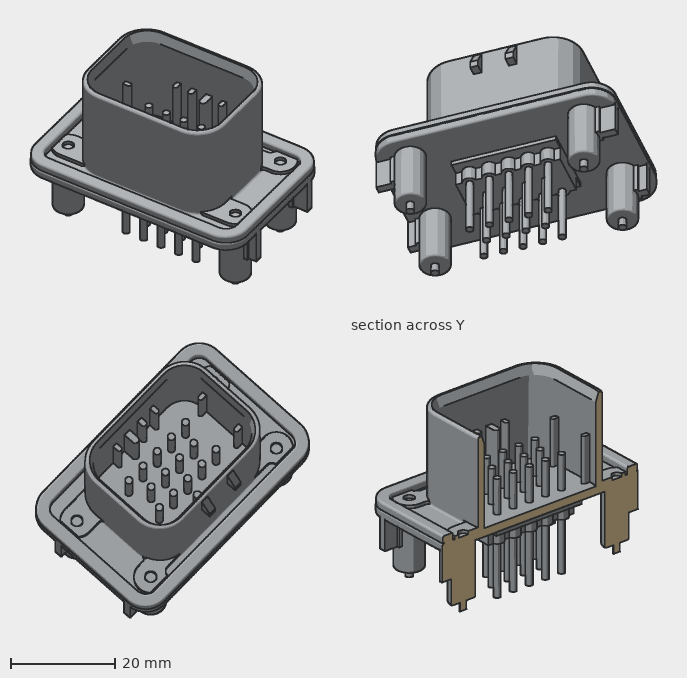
import cadquery as cq
import math

FLANGE_X = 48.8
FLANGE_Y = 32.1
FLANGE_Z = 1.95
FLANGE_CORNER = 5.0
EDGE_ROUND = 0.5

GASKET_INSET = 0.1
GASKET_WIDTH = 2.65
GASKET_TOP = 3.55

SHROUD_X = 31.5
SHROUD_Y = 23.6
SHROUD_CORNER = 6.2
SHROUD_TOP = 22.05
RIM_ROUND = 0.6
FOOT_ROUND = 0.45
WALL_X = 1.65
WALL_Y = 1.5
CAVITY_CORNER = SHROUD_CORNER - WALL_Y
CAVITY_FLOOR = 1.95
LEAD_IN_WIDTH = 0.7
LEAD_IN_DEPTH = 2.15
CAVITY_X = SHROUD_X - 2 * WALL_X
CAVITY_Y = SHROUD_Y - 2 * WALL_Y

LATCH_OFFSET_X = 3.6
LATCH_WIDTH = 1.6
LATCH_REACH_Y = 13.85
LATCH_BOTTOM = 16.65
LATCH_NOSE_TOP = 18.1
LATCH_TOP = 21.45

RIB_TOP = 12.2
RIB_WIDTH = 1.0
RIB_LENGTH_X = 1.6
RIB_LENGTH_Y = 1.7
KEY_RIB_LENGTH = 2.9
SIDE_RIB_Y = 4.7
LONG_WALL_RIBS = [
    (-5.2, RIB_WIDTH, RIB_LENGTH_Y),
    (-1.75, 1.15, RIB_LENGTH_Y),
    (1.75, 1.45, KEY_RIB_LENGTH),
    (5.2, RIB_WIDTH, RIB_LENGTH_Y),
]

PIN_DIAMETER = 1.45
PIN_PITCH = 4.0
PIN_TOP = 9.65
PIN_BOTTOM = -16.0
PIN_ROWS = [(PIN_PITCH, 5), (0.0, 4), (-PIN_PITCH, 5)]

HOUSING_X = 21.3
HOUSING_BASE_Y = 14.0
HOUSING_BASE_BOTTOM = -0.95
HOUSING_BLOCK_Y = 9.1
HOUSING_BOTTOM = -3.95
PIN_SLEEVE_RADIUS = 1.5

REAR_POST = (17.7, 10.78)
FRONT_POST = (19.12, -7.28)
POST_RADIUS = 3.08
POST_BOTTOM = -12.25
TIP_DIAMETER = 1.6
TIP_BOTTOM = -14.15

WEB_WIDTH = 1.6
WEB_BOTTOM = -6.45
WEB_ROOT_WIDTH = 2.6
WEB_ROOT_REACH = 3.6

PAD_TOP = 2.65
PAD_RADIUS = 3.25
PAD_GAP = 0.35
PAD_HOLE_DIAMETER = 2.25
PAD_CORNER = 0.65
PAD_EDGE_Y = 11.72
PAD_STEP_X = 14.05


def rounded_block(size_x, size_y, corner, bottom, top):
    """Block centred on Z with rounded vertical edges."""
    block = cq.Workplane("XY").workplane(offset=bottom).rect(size_x, size_y).extrude(top - bottom)
    return block.edges("|Z").fillet(corner)


def box(x_min, x_max, y_min, y_max, z_min, z_max):
    """Axis-aligned box given by its limits."""
    block = cq.Workplane("XY").box(x_max - x_min, y_max - y_min, z_max - z_min, centered=False)
    return block.translate((x_min, y_min, z_min))


def cylinder(x, y, radius, bottom, top):
    """Upright cylinder."""
    return cq.Workplane("XY").workplane(offset=bottom).center(x, y).circle(radius).extrude(top - bottom)


def both_ends(shape):
    """The shape together with its mirror image across the YZ plane."""
    return shape.union(shape.mirror("YZ"))


def make_flange():
    plate = rounded_block(FLANGE_X, FLANGE_Y, FLANGE_CORNER, 0, FLANGE_Z)
    return plate.faces("<Z or >Z").edges().fillet(EDGE_ROUND)


def make_gasket():
    size_x = FLANGE_X - 2 * GASKET_INSET
    size_y = FLANGE_Y - 2 * GASKET_INSET
    corner = FLANGE_CORNER - GASKET_INSET
    outer = rounded_block(size_x, size_y, corner, FLANGE_Z, GASKET_TOP)
    opening = rounded_block(
        size_x - 2 * GASKET_WIDTH, size_y - 2 * GASKET_WIDTH, corner - GASKET_WIDTH, FLANGE_Z, GASKET_TOP
    )
    return outer.cut(opening).faces(">Z").edges().fillet(EDGE_ROUND)


def make_shroud_core():
    """Solid shroud body with its rounded rim."""
    core = rounded_block(SHROUD_X, SHROUD_Y, SHROUD_CORNER, 0, SHROUD_TOP)
    return core.faces(">Z").edges().fillet(RIM_ROUND)


def make_cavity():
    """Space inside the shroud, widening towards the rim."""
    cavity = rounded_block(CAVITY_X, CAVITY_Y, CAVITY_CORNER, CAVITY_FLOOR, SHROUD_TOP)
    taper = math.degrees(math.atan2(LEAD_IN_WIDTH, LEAD_IN_DEPTH))
    mouth_bottom = SHROUD_TOP - LEAD_IN_DEPTH
    mouth_outline = cq.Sketch().rect(CAVITY_X, CAVITY_Y).vertices().fillet(CAVITY_CORNER)
    mouth = cq.Workplane("XY").workplane(offset=mouth_bottom).placeSketch(mouth_outline)
    mouth = mouth.extrude(LEAD_IN_DEPTH, taper=-taper)
    return cavity.union(mouth)


def make_latches():
    wall_y = SHROUD_Y / 2
    root_y = wall_y - WALL_Y / 2
    profile = [
        (root_y, LATCH_BOTTOM),
        (LATCH_REACH_Y, LATCH_BOTTOM),
        (LATCH_REACH_Y, LATCH_NOSE_TOP),
        (wall_y, LATCH_TOP),
        (root_y, LATCH_TOP),
    ]
    wedge = cq.Workplane("YZ").polyline(profile).close().extrude(LATCH_WIDTH / 2, both=True)
    return both_ends(wedge.translate((LATCH_OFFSET_X, 0, 0)))


def make_rib(wall_distance, width, length):
    """Round-nosed rib standing on the wall at +X = wall_distance, pointing inwards."""
    nose_x = wall_distance - length
    radius = width / 2
    body = box(nose_x + radius, wall_distance + WALL_Y / 2, -radius, radius, CAVITY_FLOOR, RIB_TOP)
    return body.union(cylinder(nose_x + radius, 0, radius, CAVITY_FLOOR, RIB_TOP))


def make_ribs():
    side_rib = make_rib(CAVITY_X / 2, RIB_WIDTH, RIB_LENGTH_X)
    pair = side_rib.translate((0, SIDE_RIB_Y, 0)).union(side_rib.translate((0, -SIDE_RIB_Y, 0)))
    ribs = both_ends(pair)
    for x, width, length in LONG_WALL_RIBS:
        rib = make_rib(CAVITY_Y / 2, width, length)
        for angle in (90, -90):
            ribs = ribs.union(rib.rotate((0, 0, 0), (0, 0, 1), angle).translate((x, 0, 0)))
    return ribs


def pin_positions():
    return [
        ((i - (count - 1) / 2) * PIN_PITCH, y)
        for y, count in PIN_ROWS
        for i in range(count)
    ]


def make_pins():
    pins = cq.Workplane("XY").workplane(offset=PIN_BOTTOM).pushPoints(pin_positions())
    return pins.circle(PIN_DIAMETER / 2).extrude(PIN_TOP - PIN_BOTTOM)


def make_housing():
    """Base slab and block around the pins, with a round sleeve at each outer-row pin."""
    half_x = HOUSING_X / 2
    half_base = HOUSING_BASE_Y / 2
    half_block = HOUSING_BLOCK_Y / 2
    housing = box(-half_x, half_x, -half_base, half_base, HOUSING_BASE_BOTTOM, FLANGE_Z)
    housing = housing.union(box(-half_x, half_x, -half_block, half_block, HOUSING_BOTTOM, FLANGE_Z))
    for x, y in pin_positions():
        if y != 0:
            housing = housing.union(cylinder(x, y, PIN_SLEEVE_RADIUS, HOUSING_BOTTOM, 0))
    return housing


def make_post(x, y):
    """Mounting post at +X with its locating tip and the stepped web to the flange end."""
    post = cylinder(x, y, POST_RADIUS, POST_BOTTOM, FLANGE_Z / 2).faces("<Z").edges().fillet(EDGE_ROUND)
    tip = cylinder(x, y, TIP_DIAMETER / 2, TIP_BOTTOM, 0)
    half_web = WEB_WIDTH / 2
    half_root = WEB_ROOT_WIDTH / 2
    web_top = FLANGE_Z - EDGE_ROUND
    web = box(x, FLANGE_X / 2, y - half_web, y + half_web, WEB_BOTTOM, web_top)
    web_root = box(x, x + WEB_ROOT_REACH, y - half_root, y + half_root, WEB_BOTTOM, web_top)
    flange_outline = rounded_block(FLANGE_X, FLANGE_Y, FLANGE_CORNER, WEB_BOTTOM, web_top)
    webs = web.union(web_root).intersect(flange_outline)
    return post.union(tip).union(webs)


def corner_filler(x, y, radius, sign_y):
    """Fillet-like wedge with its sharp corner at (x, y), spreading to +X and sign_y * Y."""
    centre_y = y + sign_y * radius
    square = box(x, x + radius, min(y, centre_y), max(y, centre_y), FLANGE_Z, PAD_TOP)
    return square.cut(cylinder(x + radius, centre_y, radius, FLANGE_Z, PAD_TOP))


def make_pads():
    """Raised pads over the posts: a disc at each post joined to the shroud."""
    limit_x = FLANGE_X / 2 - GASKET_INSET - GASKET_WIDTH - PAD_GAP
    limit_y = FLANGE_Y / 2 - GASKET_INSET - GASKET_WIDTH - PAD_GAP
    side_x = SHROUD_X / 2
    inner_x = SHROUD_X / 2 - SHROUD_CORNER

    rear_x, rear_y = REAR_POST
    rear_low = rear_y - PAD_RADIUS
    step = limit_y - PAD_EDGE_Y
    rear = cylinder(rear_x, rear_y, PAD_RADIUS, FLANGE_Z, PAD_TOP)
    rear = rear.union(box(inner_x, rear_x, rear_low, PAD_EDGE_Y, FLANGE_Z, PAD_TOP))
    rear = rear.union(box(PAD_STEP_X, rear_x, rear_low, limit_y, FLANGE_Z, PAD_TOP))
    rear = rear.cut(cylinder(PAD_STEP_X, limit_y, step, FLANGE_Z, PAD_TOP))
    rear = rear.union(corner_filler(side_x, rear_low, PAD_CORNER, -1))

    front_x, front_y = FRONT_POST
    front_low = front_y - PAD_RADIUS
    front_high = front_y + PAD_RADIUS
    front = cylinder(front_x, front_y, PAD_RADIUS, FLANGE_Z, PAD_TOP)
    front = front.union(box(inner_x, front_x, front_low, front_high, FLANGE_Z, PAD_TOP))
    front = front.union(corner_filler(side_x, front_high, PAD_CORNER, 1))

    pads = rear.union(front)
    pads = pads.intersect(box(0, limit_x, -limit_y, limit_y, FLANGE_Z, PAD_TOP))
    for x, y in (REAR_POST, FRONT_POST):
        pads = pads.cut(cylinder(x, y, PAD_HOLE_DIAMETER / 2, FLANGE_Z, PAD_TOP))
    return both_ends(pads)


def make_base():
    """Flange with the solid shroud rising from it through a concave foot round."""
    base = make_flange().union(make_shroud_core())
    reach_x = SHROUD_X / 2 + FOOT_ROUND
    reach_y = SHROUD_Y / 2 + FOOT_ROUND
    foot_edges = cq.selectors.BoxSelector(
        (-reach_x, -reach_y, FLANGE_Z - FOOT_ROUND),
        (reach_x, reach_y, FLANGE_Z + FOOT_ROUND),
        boundingbox=True,
    )
    return base.edges(foot_edges).fillet(FOOT_ROUND)


result = make_base().union(make_gasket()).union(make_pads()).union(make_latches())
result = result.cut(make_cavity())
for post_x, post_y in (REAR_POST, FRONT_POST):
    result = result.union(both_ends(make_post(post_x, post_y)))
result = result.union(make_housing()).union(make_ribs()).union(make_pins())